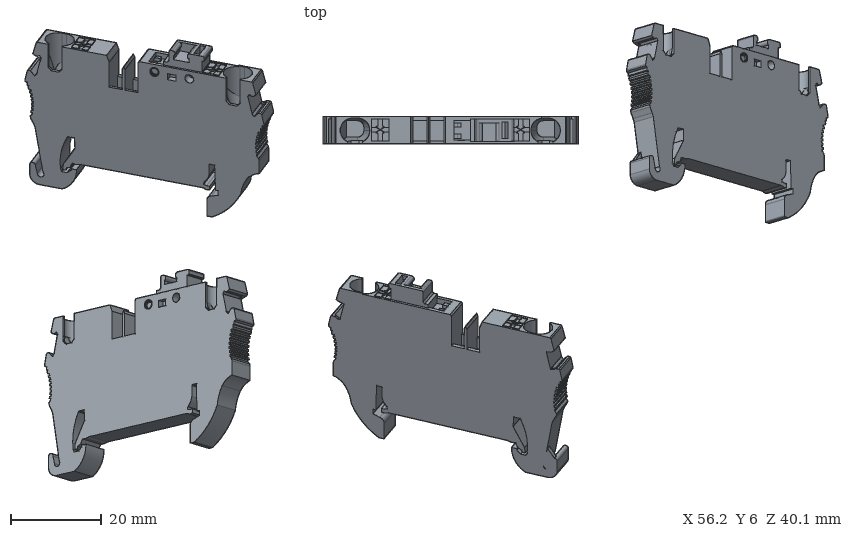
import cadquery as cq
import math

length = 56.25
thickness = 6.0
top_z = 36.05
right_lift = 0.2
lift_start_x = 48.1
rail_face_z = 7.1

tooth_count = 7
tooth_pitch = 0.95
tooth_land = 0.4
first_tooth_z = 23.9
tip_radius = 10.4
tooth_depth = 0.4
teeth_center_x = -8.85
teeth_center_z = 19.95

groove_rear_y = 5.4

web_front_y = 5.0

gap_left_x = 19.85
gap_right_x = 26.6
gap_floor_z = 28.1
gap_lead_width = 0.6
gap_lead_height = 1.6
gap_corner = 0.35
blade_center_x = 23.2
blade_width = 0.7
blade_tip_z = 34.0
blade_tip_height = 0.75
gap_front_wall = 0.6
gap_rear_wall = 0.95
gap_pocket_depth = 2.8

well_left_x = 7.1
well_right_x = 49.0
well_y = 2.9
well_length = 6.45
well_width = 5.45
well_taper_z = 32.5
well_floor_z = 25.85
well_flare = 1.4
well_floor_width = 3.8
well_floor_front_y = 1.45
well_floor_rear_y = 5.05
well_floor_corner = 1.4
well_slot_width = 3.25
well_slot_floor_z = 29.45
well_slot_rear_y = 0.75
well_slot_chamfer = 0.8

mark_spacing = 5.5
mark_width = 3.8
mark_front_y = 0.6
mark_rear_y = 5.45
mark_center_y = 3.1
mark_channel_width = 1.0
mark_head_width = 1.8
mark_head_length = 0.7
mark_depth = 0.15
mark_wedge_depth = 0.35
mark_arrow_depth = 0.7

plug_front_y = 0.5
plug_rear_y = 5.45
plug_top_z = 40.1
plug_left_x = 32.45
plug_body_x = 33.7
plug_right_x = 41.45
plug_lip_x = 42.0
plug_ledge_z = 36.95
plug_lip_z = 38.8
plug_corner = 0.4
plug_latch_rear_y = 4.6
plug_latch_left_x = 34.75
plug_latch_right_x = 38.4
plug_latch_floor_z = 37.9
plug_latch_neck_z = 38.75
plug_latch_bulge = 0.4
plug_latch_flare = 0.3
plug_window = (39.35, 40.65, 1.2, 4.8)
plug_window_depth = 2.25

pocket_left_x = 28.85
pocket_front_y = 0.8
pocket_rear_y = 5.1
pocket_depth = 1.35
pad_length = 1.6
pad_height = 0.85
pad_rows = ((1.1, 2.2), (3.7, 4.55))

opening_z = 34.1
round_openings = ((30.4, 1.75, 0.7), (38.7, 2.0, 2.25))
counterbore = (30.4, 2.1, 0.2)
square_opening = (33.6, 35.55, 32.85, 34.35)
square_opening_depth = 1.4


def box(x0, x1, y0, y1, z0, z1):
    return cq.Workplane("XY").box(x1 - x0, y1 - y0, z1 - z0, centered=False).translate((x0, y0, z0))


def front_plane(y):
    return cq.Workplane("XZ", origin=(0, y, 0))


def plate(points, front_y=0.0, rear_y=thickness):
    """Extrude a closed XZ polygon between two depths along Y."""
    return front_plane(front_y).polyline(points).close().extrude(front_y - rear_y)


def top_recess(points, depth):
    """A prism that cuts down from the housing top."""
    return cq.Workplane("XY", origin=(0, 0, top_z)).polyline(points).close().extrude(-depth)


def to_right_end(points):
    """Mirror left-end points to the right end, in the opposite running order."""
    return [(length - x, z + right_lift) for x, z in reversed(points)]


def tooth_points():
    """Teeth from top to bottom: a land on the tip arc, then a land on the root arc."""
    points = []
    for step in range(2 * tooth_count):
        middle_z = first_tooth_z - step * tooth_pitch / 2
        radius = tip_radius if step % 2 == 0 else tip_radius + tooth_depth
        for z in (middle_z + tooth_land / 2, middle_z - tooth_land / 2):
            points.append((teeth_center_x + math.sqrt(radius**2 - (z - teeth_center_z) ** 2), z))
    return points


end_outline = [
    (2.9, top_z), (2.65, 35.8), (1.85, 32.95), (2.35, 32.55), (3.75, 32.15),
    (2.75, 27.95), (2.2, 28.0), (1.5, 28.45), (0.8, 28.45), (0.5, 28.25),
    (0, 25.9), (0, 25.6), (0.5, 25.3), (0.5, 24.7), (0.85, 24.6),
] + tooth_points() + [(1.25, 16.95)]

notch_grooves = [
    [(2.85, 32.4), (3.45, 32.75), (3.8, 32.15), (3.5, 32.05)],
    [(1.25, 28.5), (2.3, 27.4), (2.8, 27.95), (1.95, 28.5)],
]


def make_housing():
    profile = (
        front_plane(0)
        .polyline(end_outline)
        .lineTo(1.35, 16.4)
        .lineTo(2.0, 15.2)
        .lineTo(2.35, 14.4)
        .lineTo(4.3, 3.3)
        .threePointArc((3.65, 2.0), (2.9, 2.8))
        .lineTo(2.5, 4.6)
        .threePointArc((1.8, 5.35), (1.1, 4.7))
        .lineTo(1.1, 2.1)
        .threePointArc((1.8, 0.7), (3.3, 0))
        .lineTo(8.8, 0)
        .threePointArc((11.1, 1.95), (12.15, 5.55))
        .lineTo(10.85, 5.55)
        .lineTo(10.85, 5.2)
        .lineTo(9.95, 4.4)
        .lineTo(8.7, 4.4)
        .lineTo(8.4, 5.05)
        .threePointArc((8.6, 9.75), (9.95, 13.35))
        .lineTo(10.2, 13.5)
        .lineTo(11.65, 13.5)
        .lineTo(11.75, 11.0)
        .lineTo(9.0, 6.3)
        .lineTo(8.9, 4.95)
        .lineTo(9.6, 4.95)
        .lineTo(9.75, 5.45)
        .lineTo(10.65, 5.9)
        .lineTo(11.15, 6.9)
        .lineTo(12.2, 6.85)
        .lineTo(13.2, rail_face_z)
        .lineTo(41.85, rail_face_z)
        .lineTo(42.8, 6.75)
        .lineTo(43.5, 6.9)
        .lineTo(43.5, 7.8)
        .lineTo(42.8, 7.8)
        .lineTo(42.05, 8.0)
        .lineTo(42.1, 8.55)
        .threePointArc((42.85, 9.4), (43.3, 10.65))
        .lineTo(43.3, 13.15)
        .lineTo(43.55, 13.4)
        .lineTo(44.65, 13.4)
        .lineTo(44.8, rail_face_z)
        .lineTo(45.5, rail_face_z)
        .lineTo(45.5, 5.95)
        .lineTo(43.85, 5.4)
        .threePointArc((43.1, 4.95), (42.8, 4.15))
        .lineTo(42.8, 0.35)
        .threePointArc((42.85, 0.15), (43.0, 0.1))
        .lineTo(44.05, 0.1)
        .threePointArc((48.15, 3.3), (50.8, 7.35))
        .threePointArc((51.3, 9.55), (52.25, 11.5))
        .threePointArc((53.55, 12.7), (55.1, 13.4))
        .lineTo(55.1, 16.65)
    )
    for point in to_right_end(end_outline):
        profile = profile.lineTo(*point)
    top_outline = [
        (lift_start_x, top_z + right_lift),
        (lift_start_x, top_z),
        (gap_right_x + gap_corner, top_z),
        (gap_right_x, top_z - gap_corner),
        (gap_right_x, gap_floor_z),
        (gap_left_x, gap_floor_z),
        (gap_left_x, top_z - gap_lead_height),
        (gap_left_x - gap_lead_width, top_z),
    ]
    for point in top_outline:
        profile = profile.lineTo(*point)
    housing = profile.close().extrude(-thickness)
    web = plate([(1.65, 5.2), (3.3, 7.25), (3.5, 7.55), (4.6, 2.8), (3.65, 1.7), (2.6, 2.55)], web_front_y)
    for groove in notch_grooves:
        for points in (groove, to_right_end(groove)):
            housing = housing.cut(plate(points, 0, groove_rear_y))
    return housing.union(web)


def make_gap_pockets():
    return box(
        gap_left_x, gap_right_x, gap_front_wall, thickness - gap_rear_wall,
        gap_floor_z - gap_pocket_depth, gap_floor_z,
    )


def make_blade():
    left = blade_center_x - blade_width / 2
    right = blade_center_x + blade_width / 2
    shoulder_z = blade_tip_z - blade_tip_height
    root_z = gap_floor_z - gap_pocket_depth
    return plate([
        (left, root_z), (left, shoulder_z), (blade_center_x, blade_tip_z),
        (right, shoulder_z), (right, root_z),
    ])


def make_well(center_x, rounded_corners):
    """An obround bore with a tapered bottom and a slot open to the front face."""
    floor_length = well_floor_rear_y - well_floor_front_y
    bore = (
        cq.Workplane("XY", origin=(center_x, well_y, well_floor_z))
        .slot2D(well_length, well_width)
        .extrude(top_z + right_lift - well_floor_z)
    )
    straight_part = bore.intersect(
        box(0, length, 0, thickness, well_taper_z, top_z + right_lift)
    )
    floor_y = well_floor_front_y + floor_length / 2

    def tapered_section(flare, z):
        section = cq.Sketch().rect(well_floor_width + 2 * flare, floor_length + 2 * flare)
        section = section.vertices(rounded_corners).fillet(well_floor_corner + flare)
        return section.moved(cq.Location((center_x, floor_y, z)))

    taper = (
        cq.Workplane("XY")
        .placeSketch(tapered_section(0, well_floor_z), tapered_section(well_flare, well_taper_z))
        .loft(ruled=True)
    )
    half_slot = well_slot_width / 2
    slot_top_z = top_z + right_lift
    shoulder_z = well_slot_floor_z + well_slot_chamfer
    slot = plate([
        (center_x - half_slot, slot_top_z), (center_x - half_slot, shoulder_z),
        (center_x - half_slot + well_slot_chamfer, well_slot_floor_z),
        (center_x + half_slot - well_slot_chamfer, well_slot_floor_z),
        (center_x + half_slot, shoulder_z), (center_x + half_slot, slot_top_z),
    ], 0, well_slot_rear_y)
    return straight_part.union(bore.intersect(taper)).union(slot)


def make_mark(center_x):
    half_width = mark_width / 2
    half_channel = mark_channel_width / 2
    half_head = mark_head_width / 2
    cutter = top_recess([
        (center_x - half_width, mark_front_y), (center_x + half_width, mark_front_y),
        (center_x + half_width, mark_rear_y), (center_x - half_width, mark_rear_y),
    ], mark_depth)
    for end_y, side in ((mark_front_y, -1), (mark_rear_y, 1)):
        neck_y = mark_center_y + side * (half_channel + mark_head_length / 2)
        head_y = mark_center_y + side * mark_head_length
        cutter = cutter.union(top_recess([
            (center_x, mark_center_y),
            (center_x - half_head, head_y), (center_x - half_channel, neck_y),
            (center_x - half_channel, end_y), (center_x + half_channel, end_y),
            (center_x + half_channel, neck_y), (center_x + half_head, head_y),
        ], mark_arrow_depth))
    for side in (-1, 1):
        end_x = center_x + side * half_width
        head_x = center_x + side * half_head
        cutter = cutter.union(top_recess([
            (center_x, mark_center_y),
            (head_x, mark_center_y - half_channel), (end_x, mark_center_y - half_channel),
            (end_x, mark_center_y + half_channel), (head_x, mark_center_y + half_channel),
        ], mark_wedge_depth))
    return cutter


def make_plug():
    root_z = top_z - pocket_depth
    body = plate([
        (plug_left_x, root_z), (plug_left_x, plug_ledge_z),
        (plug_body_x - plug_corner, plug_ledge_z), (plug_body_x, plug_ledge_z + plug_corner),
        (plug_body_x, plug_top_z), (plug_lip_x, plug_top_z),
        (plug_lip_x, plug_lip_z + plug_corner / 2), (plug_lip_x - plug_corner / 2, plug_lip_z),
        (plug_right_x, plug_lip_z), (plug_right_x, root_z),
    ], plug_front_y, plug_rear_y)
    body = body.edges("|Y and >Z").fillet(plug_corner)
    bulge_z = (plug_top_z + plug_latch_neck_z) / 2
    latch = (
        front_plane(plug_front_y)
        .moveTo(plug_latch_left_x - plug_latch_flare, plug_top_z)
        .threePointArc((plug_latch_left_x + plug_latch_bulge, bulge_z), (plug_latch_left_x, plug_latch_neck_z))
        .lineTo(plug_latch_left_x, plug_latch_floor_z)
        .lineTo(plug_latch_right_x, plug_latch_floor_z)
        .lineTo(plug_latch_right_x, plug_latch_neck_z)
        .threePointArc(
            (plug_latch_right_x - plug_latch_bulge, bulge_z),
            (plug_latch_right_x + plug_latch_flare, plug_top_z),
        )
        .close()
        .extrude(plug_front_y - plug_latch_rear_y)
    )
    window_left, window_right, window_front, window_rear = plug_window
    window = plate([
        (window_left, plug_top_z), (window_left, plug_top_z - plug_window_depth),
        ((window_left + window_right) / 2, plug_top_z - plug_window_depth), (window_right, plug_top_z),
    ], window_front, window_rear)
    return body.cut(latch).cut(window)


def make_pocket():
    floor_z = top_z - pocket_depth
    pocket = box(pocket_left_x, plug_left_x, pocket_front_y, pocket_rear_y, floor_z, top_z)
    for front_y, rear_y in pad_rows:
        pad = box(pocket_left_x, pocket_left_x + pad_length, front_y, rear_y, floor_z, floor_z + pad_height)
        pocket = pocket.cut(pad.edges("<X and >Z").fillet(pad_height - 0.05))
    return pocket


def make_front_openings():
    left, right, bottom, top = square_opening
    cutter = box(left, right, 0, square_opening_depth, bottom, top)
    for x, diameter, depth in round_openings + (counterbore,):
        cutter = cutter.union(
            front_plane(0).center(x, opening_z).circle(diameter / 2).extrude(-depth)
        )
    return cutter


result = make_housing().cut(make_gap_pockets()).union(make_blade())
result = result.cut(make_pocket()).union(make_plug()).cut(make_front_openings())
for well_x, inward, rounded_corners in ((well_left_x, 1, ">X"), (well_right_x, -1, "<X")):
    result = result.cut(make_well(well_x, rounded_corners))
    result = result.cut(make_mark(well_x + inward * mark_spacing))